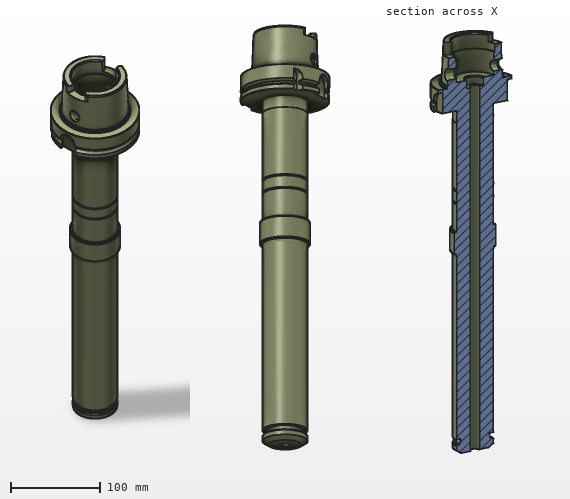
import cadquery as cq
import math

TOTAL_LENGTH = 482.0

TAPER_LENGTH = 50.0
TAPER_TOP_RADIUS = 35.5
TAPER_BASE_RADIUS = 37.5
TAPER_EDGE_INSET = 1.0
TAPER_EDGE_HEIGHT = 2.0
SEAT_RADIUS = 39.0
SEAT_HEIGHT = 3.0
SEAT_BAND = 1.5
RELIEF_INNER_RADIUS = 38.0
RELIEF_OUTER_RADIUS = 40.0
RELIEF_DEPTH = 0.5

FLANGE_RADIUS = 100.0 / 2
FLANGE_HEIGHT = 29.0
FLANGE_EDGE_CHAMFER = 0.5
GROOVE_LIP = 5.5
GROOVE_DEPTH = 4.0
GROOVE_MOUTH = 7.0
GROOVE_FLOOR = 2.5

BAR_RADIUS = 50.5 / 2
NECK_RADIUS = 25.0
NECK_LENGTH = 14.0
MARK_GROOVE_DEPTHS = (172.5, 187.5)
MARK_GROOVE_WIDTH = 2.0
MARK_GROOVE_BITE = 0.5

COLLAR_TOP_DEPTH = 220.8
COLLAR_HEIGHT = 26.5
COLLAR_RADIUS = 28.5
COLLAR_EDGE_INSET = 1.0
COLLAR_EDGE_HEIGHT = 1.5
COLLAR_FOOT_RADIUS = 26.0
COLLAR_FOOT_HEIGHT = 3.0

BAR_END_Z = 17.0
UNDERCUT_RADIUS = 20.0
UNDERCUT_FLARE_RADIUS = 21.0
NOSE_RADIUS = BAR_RADIUS
NOSE_TOP_Z = 11.0
NOSE_CHAMFER = 1.5
NOSE_CONE_Z = 4.5
NOSE_TIP_RADIUS = 18.5

MOUTH_RADIUS = 53.5 / 2
MOUTH_DEPTH = 18.5
MOUTH_CHAMFER = 1.5
CAVITY_RADIUS = 25.0
CAVITY_DEPTH = 45.5
SOCKET_RADIUS = 11.0
SOCKET_CHAMFER = 1.5
SOCKET_DEPTH = 9.5
COOLANT_RADIUS = 12.0 / 2
CROSS_HOLE_RADIUS = 12.0 / 2
CROSS_HOLE_RIM_RADIUS = 14.0 / 2
CROSS_HOLE_RIM_HEIGHT = 3.0
CROSS_HOLE_DEPTH = 34.5

CHIP_HOLE_RADIUS = 4.5
CHIP_HOLE_DROP = 6.7
CHIP_HOLE_FLOOR = 46.5
CHIP_HOLE_ANGLE = 18.0

DRIVE_SLOT_WIDTH = 20.0
DRIVE_SLOT_FRONT_DEPTH = 9.0
DRIVE_SLOT_BACK_DEPTH = 15.0
DRIVE_SLOT_FILLET = 4.0

FRONT_NOTCH_WIDTH = 20.0
BACK_NOTCH_WIDTH = 22.0
KEY_NOTCH_FLOOR = 44.5
INDEX_NOTCH_WIDTH = FRONT_NOTCH_WIDTH
INDEX_NOTCH_CORNER = 31.5
NOTCH_TOP_DROP = 4.5

FLANGE_TOP_Z = TOTAL_LENGTH - TAPER_LENGTH
FLANGE_BOTTOM_Z = FLANGE_TOP_Z - FLANGE_HEIGHT


def revolved(outline):
    """Turn an outline of (radius, z) points about the Z axis."""
    return cq.Workplane("XZ").polyline(outline).close().revolve(360, (0, 0, 0), (0, 1, 0))


def turned_body():
    """Everything that is round about the axis, from the taper down to the nose."""
    groove_z = FLANGE_BOTTOM_Z + GROOVE_LIP + GROOVE_MOUTH / 2
    groove_radius = FLANGE_RADIUS - GROOVE_DEPTH
    flange_edge_radius = FLANGE_RADIUS - FLANGE_EDGE_CHAMFER
    collar_top_z = TOTAL_LENGTH - COLLAR_TOP_DEPTH
    collar_bottom_z = collar_top_z - COLLAR_HEIGHT
    taper = [
        (0, TOTAL_LENGTH),
        (TAPER_TOP_RADIUS - TAPER_EDGE_INSET, TOTAL_LENGTH),
        (TAPER_TOP_RADIUS, TOTAL_LENGTH - TAPER_EDGE_HEIGHT),
        (TAPER_BASE_RADIUS, FLANGE_TOP_Z + SEAT_HEIGHT),
        (SEAT_RADIUS, FLANGE_TOP_Z + SEAT_HEIGHT),
        (SEAT_RADIUS, FLANGE_TOP_Z + SEAT_HEIGHT - SEAT_BAND),
        (RELIEF_INNER_RADIUS, FLANGE_TOP_Z),
        (RELIEF_INNER_RADIUS, FLANGE_TOP_Z - RELIEF_DEPTH),
        (RELIEF_OUTER_RADIUS, FLANGE_TOP_Z - RELIEF_DEPTH),
        (RELIEF_OUTER_RADIUS, FLANGE_TOP_Z),
    ]
    flange = [
        (flange_edge_radius, FLANGE_TOP_Z),
        (FLANGE_RADIUS, FLANGE_TOP_Z - FLANGE_EDGE_CHAMFER),
        (FLANGE_RADIUS, groove_z + GROOVE_MOUTH / 2),
        (groove_radius, groove_z + GROOVE_FLOOR / 2),
        (groove_radius, groove_z - GROOVE_FLOOR / 2),
        (FLANGE_RADIUS, groove_z - GROOVE_MOUTH / 2),
        (FLANGE_RADIUS, FLANGE_BOTTOM_Z + FLANGE_EDGE_CHAMFER),
        (flange_edge_radius, FLANGE_BOTTOM_Z),
    ]
    upper_bar = [
        (NECK_RADIUS, FLANGE_BOTTOM_Z),
        (NECK_RADIUS, FLANGE_BOTTOM_Z - NECK_LENGTH),
        (BAR_RADIUS, FLANGE_BOTTOM_Z - NECK_LENGTH),
    ]
    for depth in MARK_GROOVE_DEPTHS:
        mark_z = TOTAL_LENGTH - depth
        upper_bar += [
            (BAR_RADIUS, mark_z + MARK_GROOVE_WIDTH / 2),
            (BAR_RADIUS - MARK_GROOVE_BITE, mark_z),
            (BAR_RADIUS, mark_z - MARK_GROOVE_WIDTH / 2),
        ]
    collar = [
        (BAR_RADIUS, collar_top_z),
        (COLLAR_RADIUS - COLLAR_EDGE_INSET, collar_top_z),
        (COLLAR_RADIUS, collar_top_z - COLLAR_EDGE_HEIGHT),
        (COLLAR_RADIUS, collar_bottom_z + COLLAR_EDGE_HEIGHT),
        (COLLAR_RADIUS - COLLAR_EDGE_INSET, collar_bottom_z),
        (COLLAR_FOOT_RADIUS, collar_bottom_z),
        (BAR_RADIUS, collar_bottom_z - COLLAR_FOOT_HEIGHT),
    ]
    nose = [
        (BAR_RADIUS, BAR_END_Z),
        (UNDERCUT_RADIUS, BAR_END_Z),
        (UNDERCUT_FLARE_RADIUS, NOSE_TOP_Z),
        (NOSE_RADIUS - NOSE_CHAMFER, NOSE_TOP_Z),
        (NOSE_RADIUS, NOSE_TOP_Z - NOSE_CHAMFER),
        (NOSE_RADIUS, NOSE_CONE_Z),
        (NOSE_TIP_RADIUS, 0),
        (0, 0),
    ]
    return revolved(taper + flange + upper_bar + collar + nose)


def axial_bores():
    """Stepped cavity in the taper, with a coolant bore through to the lower end."""
    cavity_floor_z = TOTAL_LENGTH - CAVITY_DEPTH
    outline = [
        (0, TOTAL_LENGTH),
        (MOUTH_RADIUS + MOUTH_CHAMFER, TOTAL_LENGTH),
        (MOUTH_RADIUS, TOTAL_LENGTH - MOUTH_CHAMFER),
        (MOUTH_RADIUS, TOTAL_LENGTH - MOUTH_DEPTH),
        (CAVITY_RADIUS, TOTAL_LENGTH - MOUTH_DEPTH),
        (CAVITY_RADIUS, cavity_floor_z),
        (SOCKET_RADIUS + SOCKET_CHAMFER, cavity_floor_z),
        (SOCKET_RADIUS, cavity_floor_z - SOCKET_CHAMFER),
        (SOCKET_RADIUS, cavity_floor_z - SOCKET_DEPTH),
        (COOLANT_RADIUS, cavity_floor_z - SOCKET_DEPTH),
        (COOLANT_RADIUS, 0),
        (0, 0),
    ]
    return revolved(outline)


def cross_hole():
    """Hole along -Y through the wall of the taper, with a conical rim at the outside."""
    height = TAPER_LENGTH - SEAT_HEIGHT - TAPER_EDGE_HEIGHT
    slope = (TAPER_BASE_RADIUS - TAPER_TOP_RADIUS) / height
    wall_radius = TAPER_TOP_RADIUS + slope * (CROSS_HOLE_DEPTH - TAPER_EDGE_HEIGHT)
    outline = [
        (0, 0),
        (CROSS_HOLE_RADIUS, 0),
        (CROSS_HOLE_RADIUS, -wall_radius + CROSS_HOLE_RIM_HEIGHT),
        (CROSS_HOLE_RIM_RADIUS, -wall_radius),
        (CROSS_HOLE_RIM_RADIUS, -FLANGE_RADIUS),
        (0, -FLANGE_RADIUS),
    ]
    hole = cq.Workplane("XY").polyline(outline).close().revolve(360, (0, 0, 0), (0, 1, 0))
    return hole.translate((0, 0, TOTAL_LENGTH - CROSS_HOLE_DEPTH))


def chip_hole():
    """Blind radial hole in the flange rim, beside the back key notch."""
    return (
        cq.Workplane("XZ", origin=(0, CHIP_HOLE_FLOOR, 0))
        .center(0, FLANGE_TOP_Z - CHIP_HOLE_DROP)
        .circle(CHIP_HOLE_RADIUS)
        .extrude(-FLANGE_RADIUS)
        .rotate((0, 0, 0), (0, 0, 1), CHIP_HOLE_ANGLE)
    )


def drive_slot(depth):
    """Slot through the -Y side of the rim, with fillets from its walls to the outside of the rim."""
    half = DRIVE_SLOT_WIDTH / 2
    fillet = DRIVE_SLOT_FILLET
    center_x = half + fillet
    center_radius = TAPER_TOP_RADIUS - fillet
    center_y = -math.sqrt(center_radius**2 - center_x**2)
    rim_x = center_x * TAPER_TOP_RADIUS / center_radius
    rim_y = center_y * TAPER_TOP_RADIUS / center_radius
    middle_x = center_x - fillet * math.sqrt(0.5)
    middle_y = center_y - fillet * math.sqrt(0.5)
    return (
        cq.Workplane("XY", origin=(0, 0, TOTAL_LENGTH - depth))
        .moveTo(-half, 0)
        .lineTo(-half, center_y)
        .threePointArc((-middle_x, middle_y), (-rim_x, rim_y))
        .lineTo(-rim_x, -FLANGE_RADIUS)
        .lineTo(rim_x, -FLANGE_RADIUS)
        .lineTo(rim_x, rim_y)
        .threePointArc((middle_x, middle_y), (half, center_y))
        .lineTo(half, 0)
        .close()
        .extrude(depth)
    )


def flange_notch(width, floor_y, center_x=0):
    """Arched notch cut along Y into the -Y side of the flange, down to a flat floor."""
    half = width / 2
    top_z = FLANGE_TOP_Z - NOTCH_TOP_DROP
    return (
        cq.Workplane("XZ", origin=(center_x, floor_y, 0))
        .moveTo(-half, FLANGE_BOTTOM_Z)
        .lineTo(-half, top_z - half)
        .threePointArc((0, top_z), (half, top_z - half))
        .lineTo(half, FLANGE_BOTTOM_Z)
        .close()
        .extrude(FLANGE_RADIUS)
    )


def half_turn(shape):
    """Turn a shape from the -Y side to the +Y side."""
    return shape.rotate((0, 0, 0), (0, 0, 1), 180)


result = turned_body().cut(axial_bores())
result = result.cut(cross_hole())
result = result.cut(half_turn(cross_hole()))
result = result.cut(chip_hole())
result = result.cut(drive_slot(DRIVE_SLOT_FRONT_DEPTH))
result = result.cut(half_turn(drive_slot(DRIVE_SLOT_BACK_DEPTH)))
result = result.cut(flange_notch(FRONT_NOTCH_WIDTH, -KEY_NOTCH_FLOOR))
result = result.cut(half_turn(flange_notch(BACK_NOTCH_WIDTH, -KEY_NOTCH_FLOOR)))

index_center_x = -INDEX_NOTCH_CORNER - INDEX_NOTCH_WIDTH / 2
result = result.cut(flange_notch(INDEX_NOTCH_WIDTH, -INDEX_NOTCH_CORNER, index_center_x))